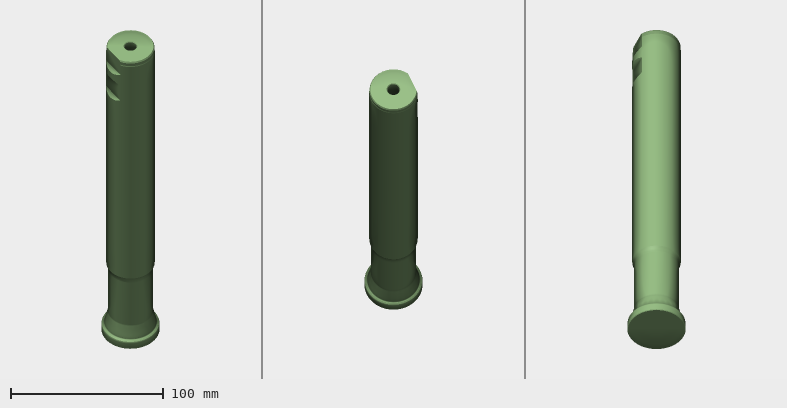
import cadquery as cq
import math

total_length = 254.0
head_diameter = 38.1
shank_diameter = 31.75
neck_diameter = 29.6

shank_bottom = 60.3
neck_top = 55.8
flare_top = 17.4
flare_bottom = 7.6
rim_round_bottom = 5.0

flare_large_diameter = 34.0
flare_fillet_radius = 4.0
ledge_cove_radius = 0.8
ledge_diameter = 37.4
ledge_drop = 0.6
head_bottom_chamfer = 0.4

end_band_length = 3.3
end_band_depth = 0.2
end_band_ramp = 0.7
end_chamfer_length = 1.0
end_chamfer_depth = 0.6

flat_offset = 13.5
ramp_angle = 45.0
upper_flat_end = 12.4
lower_flat_start = 22.4
lower_flat_end = 35.4
cutter_clearance = 1.0

hole_diameter = 8.0
hole_depth = 20.0
hole_chamfer = 0.5
drill_point_angle = 118.0


def make_body():
    """Revolve the stepped shank, neck and head around Z."""
    head_radius = head_diameter / 2
    shank_radius = shank_diameter / 2
    neck_radius = neck_diameter / 2
    end_radius = shank_radius - end_band_depth
    band_bottom = total_length - end_band_length
    cove_bottom = flare_bottom - ledge_cove_radius
    cove_end_radius = flare_large_diameter / 2 + ledge_cove_radius
    rim_start = (ledge_diameter / 2, cove_bottom - ledge_drop)

    flare_step = (flare_large_diameter - neck_diameter) / 2
    flare_angle = math.atan2(flare_step, flare_top - flare_bottom)
    fillet_tangent = flare_fillet_radius * math.tan(flare_angle / 2)
    fillet_end = (
        neck_radius + fillet_tangent * math.sin(flare_angle),
        flare_top - fillet_tangent * math.cos(flare_angle),
    )
    fillet_middle = (
        neck_radius + flare_fillet_radius * (1 - math.cos(flare_angle / 2)),
        flare_top + fillet_tangent - flare_fillet_radius * math.sin(flare_angle / 2),
    )

    blend_height = shank_bottom - neck_top
    blend_step = shank_radius - neck_radius
    blend_radius = (blend_height**2 + blend_step**2) / (2 * blend_step)
    half_sweep = math.asin(blend_height / blend_radius) / 2
    blend_middle = (
        neck_radius + blend_radius * (1 - math.cos(half_sweep)),
        neck_top + blend_radius * math.sin(half_sweep),
    )

    profile = (
        cq.Workplane("XZ")
        .moveTo(0, 0)
        .lineTo(head_radius - head_bottom_chamfer, 0)
        .lineTo(head_radius, head_bottom_chamfer)
        .lineTo(head_radius, rim_round_bottom)
        .tangentArcPoint(rim_start, relative=False)
        .lineTo(cove_end_radius, cove_bottom)
        .radiusArc((flare_large_diameter / 2, flare_bottom), ledge_cove_radius)
        .lineTo(*fillet_end)
        .threePointArc(fillet_middle, (neck_radius, flare_top + fillet_tangent))
        .lineTo(neck_radius, neck_top)
        .threePointArc(blend_middle, (shank_radius, shank_bottom))
        .lineTo(shank_radius, band_bottom - end_band_ramp)
        .lineTo(end_radius, band_bottom)
        .lineTo(end_radius, total_length - end_chamfer_length)
        .lineTo(end_radius - end_chamfer_depth, total_length)
        .lineTo(0, total_length)
        .close()
    )
    return profile.revolve(360, (0, 0, 0), (0, 1, 0))


def make_flat_cutter(start, end, open_at_top):
    """Cutter for one flat with sloped end ramps; distances run down from the top face."""
    reach = shank_diameter / 2 + cutter_clearance
    ramp = (reach - flat_offset) / math.tan(math.radians(ramp_angle))
    top = total_length - start
    bottom = total_length - end
    outer_top = top if open_at_top else top + ramp
    return (
        cq.Workplane("YZ")
        .moveTo(-flat_offset, top)
        .lineTo(-flat_offset, bottom)
        .lineTo(-reach, bottom - ramp)
        .lineTo(-reach, outer_top)
        .close()
        .extrude(shank_diameter / 2, both=True)
    )


def make_hole_cutter():
    """Chamfered blind hole with a conical drill point."""
    radius = hole_diameter / 2
    point_length = radius / math.tan(math.radians(drill_point_angle / 2))
    floor = total_length - hole_depth
    return (
        cq.Workplane("XZ")
        .moveTo(0, total_length)
        .lineTo(radius + hole_chamfer, total_length)
        .lineTo(radius, total_length - hole_chamfer)
        .lineTo(radius, floor)
        .lineTo(0, floor - point_length)
        .close()
        .revolve(360, (0, 0, 0), (0, 1, 0))
    )


body = make_body()
upper_flat = make_flat_cutter(0, upper_flat_end, True)
lower_flat = make_flat_cutter(lower_flat_start, lower_flat_end, False)
result = body.cut(upper_flat).cut(lower_flat).cut(make_hole_cutter())